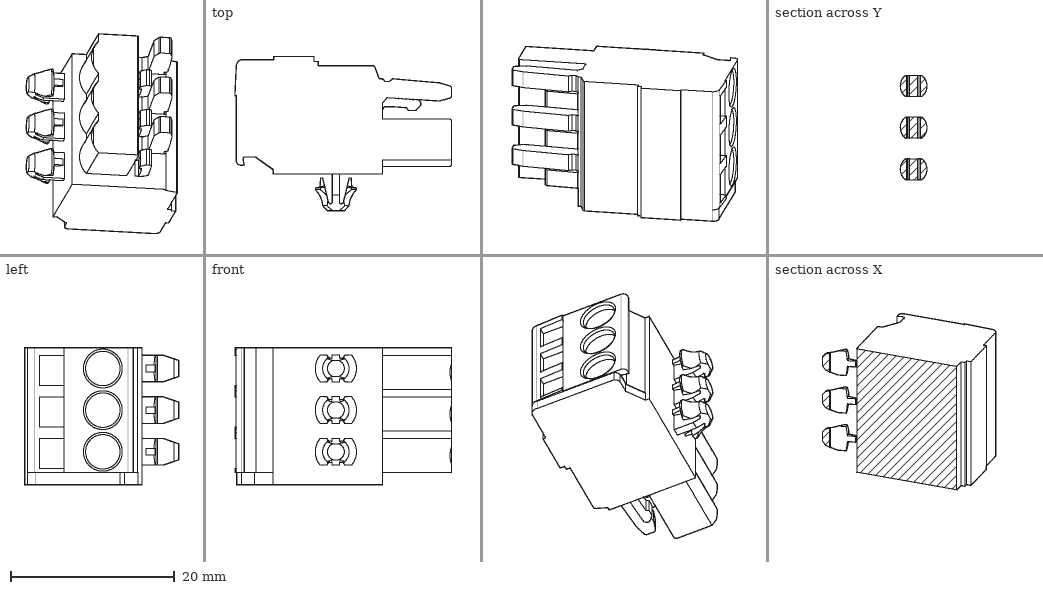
import cadquery as cq

pole_count = 3
pole_pitch = 5.08
end_plate_thickness = 1.48
length = 26.47
height = end_plate_thickness + pole_count * pole_pitch

wire_face_x = 0.15
plate_face_x = 0.25
ramp_end_x = 4.69
plug_root_x = 18.03
back_y = 13.98
raised_face_y = 9.53
raised_pad_start_x = 4.75
raised_pad_end_x = 9.7
raised_pad_y = 14.35
pad_step_x = 10.2
pad_step_y = 13.75
rear_y = 13.24
latch_root_y = 11.65
slot_corner = (18.58, 9.32)
slot_wall_y = 8.65
corner_start_y = 13.1
plate_corner_start_y = 13.0
corner_end_x = 0.85
corner_mid = (0.4, 13.7)

arm_thickness = 2.05
hook_thickness = 2.05

plug_front_y = 1.75
plug_back_y = 6.75
plug_chamfer = 0.2
rib_crest_y = 0.9
rib_width = 4.15

entry_y = 4.8
entry_diameter = 4.2
entry_mouth_diameter = 4.75
entry_depth = 1.0
entry_chamfer = (entry_mouth_diameter - entry_diameter) / 2
window_depth = 1.0
window_back_y = 12.55
window_height = 3.68
window_bottom = 0.48

peg_x = 12.34
peg_width = 3.28
peg_tip_y = -4.5
peg_tip_radius = 1.03
peg_tip_width = 1.95
peg_taper_y = -2.57
stem_thickness = 0.93
barb_radius = 2.51
barb_rim_y = -1.7
barb_apex_y = -1.1
slot_end_y = -3.6
finger_width = 0.8
finger_end_y = -0.45
finger_root_y = -2.12
finger_inner_x = 1.61


def pole_bottom(index):
    return end_plate_thickness + index * pole_pitch


def prism(outline, bottom, thickness):
    """Extrude a closed XY outline upward from the given Z."""
    return outline.close().extrude(thickness).translate((0, 0, bottom))


def back_outline(start):
    """Carry an outline from the wire-side corner over the stepped back to the peg face."""
    return (
        start.threePointArc(corner_mid, (corner_end_x, back_y))
        .lineTo(raised_pad_start_x, back_y)
        .lineTo(raised_pad_start_x, raised_pad_y)
        .lineTo(raised_pad_end_x, raised_pad_y)
        .lineTo(raised_pad_end_x, pad_step_y)
        .lineTo(pad_step_x, pad_step_y)
        .lineTo(pad_step_x, rear_y)
        .lineTo(16.91, rear_y)
        .lineTo(17.1, 13.08)
        .lineTo(17.63, latch_root_y)
        .lineTo(plug_root_x, latch_root_y)
        .lineTo(plug_root_x, 0)
        .lineTo(ramp_end_x, 0)
    )


def make_poles():
    start = cq.Workplane("XY").moveTo(wire_face_x, corner_start_y)
    outline = (
        back_outline(start)
        .lineTo(ramp_end_x, 0.58)
        .lineTo(2.57, 2.06)
        .lineTo(1.15, 2.06)
        .lineTo(1.0, 1.93)
        .lineTo(1.16, 1.09)
        .lineTo(0.8, 1.05)
        .threePointArc((0.35, 1.25), (wire_face_x, 1.7))
        .lineTo(wire_face_x, raised_face_y)
        .lineTo(0, raised_face_y)
    )
    return prism(outline, end_plate_thickness, pole_count * pole_pitch)


def make_end_plate():
    start = cq.Workplane("XY").moveTo(plate_face_x, plate_corner_start_y)
    outline = (
        back_outline(start)
        .lineTo(ramp_end_x, 0.5)
        .lineTo(2.44, 2.12)
        .lineTo(corner_end_x, 2.12)
        .threePointArc((0.48, 2.33), (plate_face_x, 2.7))
    )
    return prism(outline, 0, end_plate_thickness)


def make_arm(top):
    points = [
        (plug_root_x, latch_root_y),
        (18.35, 11.3),
        (18.87, 11.3),
        (19.25, latch_root_y),
        (24.95, 11.15),
        (26.3, 10.75),
        (length, 10.55),
        (length, 9.42),
        (26.25, 9.26),
        (24.95, 8.9),
        slot_corner,
        (plug_root_x, slot_wall_y),
    ]
    return prism(cq.Workplane("XY").polyline(points), top - arm_thickness, arm_thickness)


def make_hook(bottom):
    points = [
        (plug_root_x, slot_wall_y),
        slot_corner,
        (22.42, 9.05),
        (22.7, 8.74),
        (22.7, 8.4),
        (22.05, 7.73),
        (21.18, 7.73),
        (20.96, 8.07),
        (19.25, 8.2),
        (18.25, 8.2),
        (plug_root_x, 7.8),
    ]
    return prism(cq.Workplane("XY").polyline(points), bottom, hook_thickness)


def make_plug():
    """Flat tongue with one shallow rounded rib per pole, chamfered at the mating end."""
    reach = length - plug_root_x
    section = cq.Workplane("YZ").moveTo(plug_back_y, height).lineTo(plug_front_y, height)
    for index in reversed(range(pole_count)):
        rib_bottom = pole_bottom(index)
        rib_top = rib_bottom + rib_width
        section = (
            section.lineTo(plug_front_y, rib_top)
            .threePointArc((rib_crest_y, rib_bottom + rib_width / 2), (plug_front_y, rib_bottom))
        )
    section = section.lineTo(plug_back_y, end_plate_thickness).close()
    tongue = section.extrude(reach).translate((plug_root_x, 0, 0))
    envelope = (
        cq.Workplane("XY")
        .box(reach, plug_back_y - rib_crest_y, height, centered=False)
        .edges("|Z and >X")
        .chamfer(plug_chamfer)
        .translate((plug_root_x, rib_crest_y, 0))
    )
    return tongue.intersect(envelope)


def make_wire_entry(center_z):
    """Chamfered round recess, as a cutter."""
    mouth_radius = entry_mouth_diameter / 2
    profile = [
        (0, 0),
        (mouth_radius, 0),
        (mouth_radius - entry_chamfer, entry_chamfer),
        (entry_diameter / 2, entry_depth),
        (0, entry_depth),
    ]
    cutter = cq.Workplane("XZ").polyline(profile).close().revolve(360, (0, 0), (0, 1))
    return cutter.rotate((0, 0, 0), (0, 1, 0), 90).translate((wire_face_x, entry_y, center_z))


def make_window(bottom):
    return cq.Workplane("XY").box(
        window_depth, window_back_y - raised_face_y, window_height, centered=False
    ).translate((0, raised_face_y, bottom))


def make_peg(center_z):
    """Barbed snap-in peg: a round flared body split into a flat stem and two sprung arms."""
    flare = (
        cq.Workplane("XY")
        .moveTo(0, peg_tip_y)
        .lineTo(peg_tip_radius, peg_tip_y)
        .lineTo(1.61, -3.86)
        .threePointArc((1.9, -2.75), (barb_radius, -1.9))
        .lineTo(barb_radius, barb_rim_y)
        .lineTo(0, barb_apex_y)
        .close()
        .revolve(360, (0, 0), (0, 1))
    )
    stem_side = stem_thickness / 2
    slot_points = [
        (stem_side, finger_end_y),
        (stem_side, -3.5),
        (0.55, slot_end_y),
        (0.77, slot_end_y),
        (0.9, -3.45),
        (finger_inner_x, finger_end_y),
    ]
    finger_points = [
        (stem_side, finger_root_y),
        (stem_side, finger_end_y),
        (1.88, finger_end_y),
        (1.95, barb_rim_y),
        (1.95, finger_root_y),
    ]
    slot = prism(cq.Workplane("XY").polyline(slot_points), -peg_width, 2 * peg_width)
    finger = prism(cq.Workplane("XY").polyline(finger_points), -finger_width / 2, finger_width)
    stem = cq.Workplane("XY").box(stem_thickness, -peg_taper_y, peg_width)
    stem = stem.translate((0, peg_taper_y / 2, 0))

    peg = flare
    for side_slot, side_finger in ((slot, finger), (slot.mirror("YZ"), finger.mirror("YZ"))):
        peg = peg.union(side_finger).cut(side_slot)
    peg = peg.union(stem)

    half_width = peg_width / 2
    half_tip = peg_tip_width / 2
    flank_points = [
        (0, half_width),
        (peg_taper_y, half_width),
        (peg_tip_y, half_tip),
        (peg_tip_y, -half_tip),
        (peg_taper_y, -half_width),
        (0, -half_width),
    ]
    flanks = cq.Workplane("YZ").polyline(flank_points).close().extrude(peg_width, both=True)
    return peg.intersect(flanks).translate((peg_x, 0, center_z))


result = make_poles().union(make_end_plate()).union(make_plug())
for pole in range(pole_count):
    bottom = pole_bottom(pole)
    result = result.union(make_arm(bottom + pole_pitch))
    result = result.union(make_hook(bottom))
    result = result.cut(make_wire_entry(bottom + pole_pitch / 2))
    result = result.cut(make_window(bottom + window_bottom))
    result = result.union(make_peg(bottom + pole_pitch / 2))